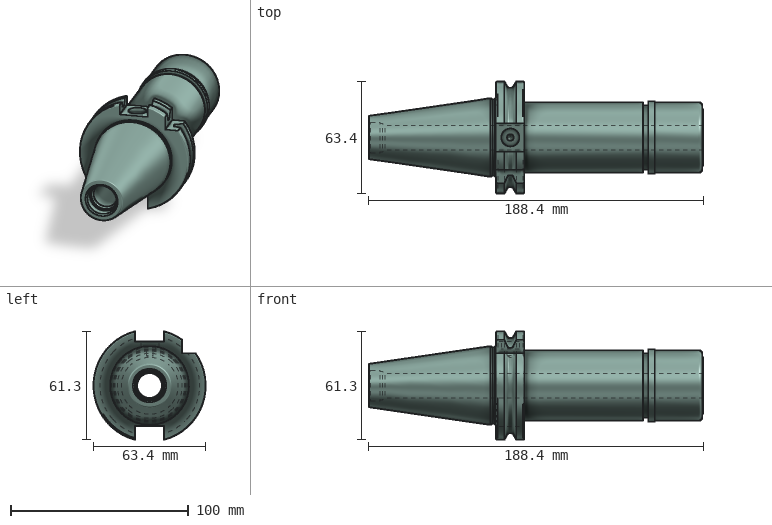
import cadquery as cq
import math


overall_length = 188.4
taper_length = 68.4
nose_end = overall_length - taper_length

gauge_radius = 22.2
taper_slope = 7 / 48
tip_radius = gauge_radius - taper_length * taper_slope
tip_fillet = 1.0
relief_depth = 0.5
relief_start = 1.1
relief_end = 2.3

flange_start = 3.2
flange_width = 16.0
flange_end = flange_start + flange_width
flange_radius = 31.7
rim_fillet = 1.0

groove_centre = 11.3
groove_depth = 3.5
groove_floor_half = 1.3
groove_wall_angle = 30.0
groove_fillet = 1.1
cutter_overreach = 1.9

slot_width = 16.2
top_slot_floor = 24.9
bottom_slot_floor = 22.8
notch_edge = 18.3

recess_radius = 5.0
recess_depth = 4.1
screw_hole_radius = 1.9
screw_hole_depth = 3.8
drill_tip_angle = 118.0

shank_radius = 20.0
shank_end = 86.1
shank_chamfer = 0.4
neck_radius = 18.3

nut_start = 89.0
nut_radius = 20.0
collar_radius = 20.5
collar_width = 3.8
nut_fillet = 2.3
nut_lip_radius = 16.0
nut_lip_height = 0.5

bore_radius = 7.0
pilot_radius = 8.5
pilot_depth = 6.2
thread_mouth_radius = 8.0
thread_mouth_length = 1.3
thread_cone_length = 1.5
pilot_chamfer = 1.0


def revolve_profile(points):
    """Revolve a closed profile of (x, radius) points about the X axis."""
    return cq.Workplane("XZ").polyline(points).close().revolve(360, (0, 0, 0), (1, 0, 0))


def cylinder(radius, start, end):
    """Solid cylinder on the X axis."""
    return revolve_profile([(start, 0), (start, radius), (end, radius), (end, 0)])


def make_taper():
    relief_radius = gauge_radius - relief_depth
    taper = revolve_profile([
        (-taper_length, 0),
        (-taper_length, tip_radius),
        (0, gauge_radius),
        (relief_start, relief_radius),
        (relief_end, relief_radius),
        (flange_start, gauge_radius),
        (flange_start, 0),
    ])
    return taper.faces("<X").edges().fillet(tip_fillet)


def make_groove_cutter():
    """Ring with a V section and rounded floor corners, reaching past the flange rim."""
    floor_radius = flange_radius - groove_depth
    outer_radius = flange_radius + cutter_overreach
    spread = (outer_radius - floor_radius) * math.tan(math.radians(groove_wall_angle))
    ring = revolve_profile([
        (groove_centre - groove_floor_half, floor_radius),
        (groove_centre + groove_floor_half, floor_radius),
        (groove_centre + groove_floor_half + spread, outer_radius),
        (groove_centre - groove_floor_half - spread, outer_radius),
    ])
    floor_edges = cq.selectors.RadiusNthSelector(0)
    return ring.edges("%CIRCLE").edges(floor_edges).fillet(groove_fillet)


def make_flange_cuts():
    """Both drive slots and the corner notch, each running the full flange width."""
    flange_middle = (flange_start + flange_end) / 2
    reach = flange_radius

    def box(width, y_centre, z_centre):
        block = cq.Workplane("XY").box(flange_width, width, reach)
        return block.translate((flange_middle, y_centre, z_centre))

    top_slot = box(slot_width, 0, top_slot_floor + reach / 2)
    bottom_slot = box(slot_width, 0, -bottom_slot_floor - reach / 2)
    notch = box(reach, -notch_edge - reach / 2, notch_edge + reach / 2)
    return top_slot.union(bottom_slot).union(notch)


def make_slot_hole():
    """Recess and pointed screw hole sunk into the floor of the top drive slot."""
    recess_floor = top_slot_floor - recess_depth
    hole_end = recess_floor - screw_hole_depth
    point_length = screw_hole_radius / math.tan(math.radians(drill_tip_angle / 2))
    profile = [
        (0, top_slot_floor),
        (recess_radius, top_slot_floor),
        (recess_radius, recess_floor),
        (screw_hole_radius, recess_floor),
        (screw_hole_radius, hole_end),
        (0, hole_end - point_length),
    ]
    hole = cq.Workplane("XZ").polyline(profile).close().revolve(360, (0, 0, 0), (0, 1, 0))
    return hole.translate((groove_centre, 0, 0))


def make_flange():
    flange = cylinder(flange_radius, flange_start, flange_end)
    flange = flange.edges("%CIRCLE").fillet(rim_fillet)
    return flange.cut(make_groove_cutter()).cut(make_flange_cuts())


def make_bore():
    """Through bore, with a countersunk mouth inside a wider pilot at the small end."""
    pilot_end = -taper_length + pilot_depth
    cone_start = pilot_end + thread_mouth_length
    return revolve_profile([
        (-taper_length, 0),
        (-taper_length, pilot_radius + pilot_chamfer),
        (-taper_length + pilot_chamfer, pilot_radius),
        (pilot_end, pilot_radius),
        (pilot_end, thread_mouth_radius),
        (cone_start, thread_mouth_radius),
        (cone_start + thread_cone_length, bore_radius),
        (nose_end, bore_radius),
        (nose_end, 0),
    ])


def make_holder():
    shank = cylinder(shank_radius, flange_end, shank_end).faces(">X").chamfer(shank_chamfer)
    neck = cylinder(neck_radius, shank_end, nut_start)
    holder = make_taper().union(make_flange()).union(shank).union(neck)
    return holder.cut(make_slot_hole()).cut(make_bore())


def make_nut():
    shoulder = nose_end - nut_lip_height
    body = cylinder(nut_radius, nut_start, shoulder).faces(">X").edges().fillet(nut_fillet)
    lip = cylinder(nut_lip_radius, shoulder, nose_end)
    collar = cylinder(collar_radius, nut_start, nut_start + collar_width)
    return body.union(lip).union(collar).cut(make_bore())


holder = make_holder()
nut = make_nut()

result = cq.Compound.makeCompound([holder.val(), nut.val()])